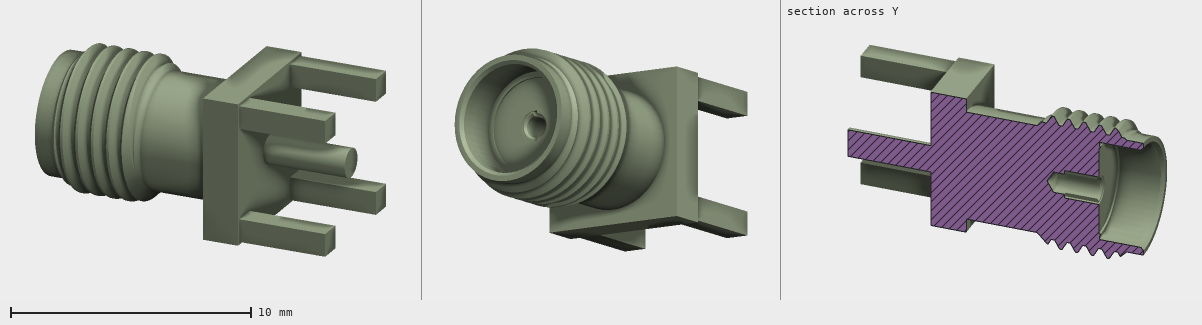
import cadquery as cq
import math


TOTAL_LENGTH = 13.46
COLLAR_END = 0.775
THREAD_END = 4.77
FLANGE_FRONT = 7.93
FLANGE_BACK = 9.53
PIN_END = 13.25

COLLAR_RADIUS = 2.67
BARREL_RADIUS = 2.555
FLANGE_SIZE = 6.35

INCH = 25.4
PITCH = INCH / 36
CREST_RADIUS = 3.14
ROOT_RADIUS = 2.755
ROOT_FLAT = 0.15
FLANK_HALF_ANGLE = math.radians(30)
CREST_AT_TOP = 1.25
GROOVE_TURNS = 7
GROOVE_OVERCUT = 0.1
BLANK_EXTRA = 0.1

BORE_RADIUS = 2.30
BORE_DEPTH = 1.97
BORE_CHAMFER = 0.14

LIP_RADIUS = 2.14
LIP_HEIGHT = 0.05
LIP_FACE = BORE_DEPTH - LIP_HEIGHT
INSULATOR_RADIUS = 2.03
INSULATOR_RECESS = 0.03
INSULATOR_FACE = BORE_DEPTH + INSULATOR_RECESS

PIN_RADIUS = 0.64
CONTACT_RECESS = 0.04
CONTACT_FACE = INSULATOR_FACE + CONTACT_RECESS
SOCKET_RADIUS = 0.47
SOCKET_DEPTH = 2.0
SOCKET_CHAMFER = 0.09
SOCKET_TIP_HALF_ANGLE = math.radians(59)
SLOT_WIDTH = 0.2
SLOT_DEPTH = 1.5

LEG_SIZE = 1.02
LEG_SPACING = 5.08


def revolve_about_x(points):
    """Revolve a closed outline of (x, radius) points about the X axis."""
    return cq.Workplane("XY").polyline(points).close().revolve(360, (0, 0, 0), (1, 0, 0))


def cylinder(start, end, radius):
    """Cylinder on the X axis between two X positions."""
    return cq.Workplane("YZ").workplane(offset=start).circle(radius).extrude(end - start)


def make_thread_envelope():
    """Thread length with 45 degree ends that fall to the collar and the barrel."""
    front_chamfer = CREST_RADIUS - COLLAR_RADIUS
    back_chamfer = CREST_RADIUS - BARREL_RADIUS
    return revolve_about_x([
        (COLLAR_END, 0),
        (COLLAR_END, COLLAR_RADIUS),
        (COLLAR_END + front_chamfer, CREST_RADIUS),
        (THREAD_END - back_chamfer, CREST_RADIUS),
        (THREAD_END, BARREL_RADIUS),
        (THREAD_END, 0),
    ])


def make_thread_groove():
    """Helical V groove with a flat root, running out through both thread ends."""
    helix_height = GROOVE_TURNS * PITCH
    outer_radius = CREST_RADIUS + GROOVE_OVERCUT
    root_half_width = ROOT_FLAT / 2
    outer_half_width = root_half_width + (outer_radius - ROOT_RADIUS) * math.tan(FLANK_HALF_ANGLE)
    helix = cq.Wire.makeHelix(PITCH, helix_height, ROOT_RADIUS)
    groove = (
        cq.Workplane("XZ")
        .polyline([
            (ROOT_RADIUS, -root_half_width),
            (outer_radius, -outer_half_width),
            (outer_radius, outer_half_width),
            (ROOT_RADIUS, root_half_width),
        ])
        .close()
        .sweep(cq.Workplane(obj=helix), isFrenet=True)
    )
    start = CREST_AT_TOP - 2 * PITCH
    return groove.rotate((0, 0, 0), (0, 1, 0), 90).translate((start, 0, 0))


def make_thread():
    """Threaded length: a grooved cylinder, a little long, trimmed to the envelope."""
    blank = cylinder(COLLAR_END - BLANK_EXTRA, THREAD_END + BLANK_EXTRA, CREST_RADIUS)
    return blank.cut(make_thread_groove()).intersect(make_thread_envelope())


def make_shell():
    """Collar, thread and barrel."""
    collar = cylinder(0, COLLAR_END, COLLAR_RADIUS)
    barrel = cylinder(THREAD_END, FLANGE_FRONT, BARREL_RADIUS)
    return collar.union(make_thread()).union(barrel)


def make_bore():
    """Chamfered bore, its floor stepped by the lip, the insulator and the contact."""
    return revolve_about_x([
        (0, 0),
        (0, BORE_RADIUS + BORE_CHAMFER),
        (BORE_CHAMFER, BORE_RADIUS),
        (BORE_DEPTH, BORE_RADIUS),
        (BORE_DEPTH, LIP_RADIUS),
        (LIP_FACE, LIP_RADIUS),
        (LIP_FACE, INSULATOR_RADIUS),
        (INSULATOR_FACE, INSULATOR_RADIUS),
        (INSULATOR_FACE, PIN_RADIUS),
        (CONTACT_FACE, PIN_RADIUS),
        (CONTACT_FACE, 0),
    ])


def make_socket():
    """Contact hole with a chamfered mouth, a conical end and a slot across it."""
    hole_end = CONTACT_FACE + SOCKET_DEPTH
    tip_length = SOCKET_RADIUS / math.tan(SOCKET_TIP_HALF_ANGLE)
    hole = revolve_about_x([
        (CONTACT_FACE, 0),
        (CONTACT_FACE, SOCKET_RADIUS + SOCKET_CHAMFER),
        (CONTACT_FACE + SOCKET_CHAMFER, SOCKET_RADIUS),
        (hole_end, SOCKET_RADIUS),
        (hole_end + tip_length, 0),
    ])
    slot = (
        cq.Workplane("YZ")
        .workplane(offset=CONTACT_FACE)
        .rect(SLOT_WIDTH, 2 * PIN_RADIUS)
        .extrude(SLOT_DEPTH)
        .intersect(cylinder(CONTACT_FACE, CONTACT_FACE + SLOT_DEPTH, PIN_RADIUS))
    )
    return hole.union(slot)


def make_flange():
    """Square flange behind the barrel."""
    return (
        cq.Workplane("YZ")
        .workplane(offset=FLANGE_FRONT)
        .rect(FLANGE_SIZE, FLANGE_SIZE)
        .extrude(FLANGE_BACK - FLANGE_FRONT)
    )


def make_legs():
    """Four square legs at the corners of the flange."""
    return (
        cq.Workplane("YZ")
        .workplane(offset=FLANGE_BACK)
        .rect(LEG_SPACING, LEG_SPACING, forConstruction=True)
        .vertices()
        .rect(LEG_SIZE, LEG_SIZE)
        .extrude(TOTAL_LENGTH - FLANGE_BACK)
    )


solder_pin = cylinder(FLANGE_BACK, PIN_END, PIN_RADIUS)
body = make_shell().union(make_flange()).union(make_legs()).union(solder_pin)
result = body.cut(make_bore()).cut(make_socket())